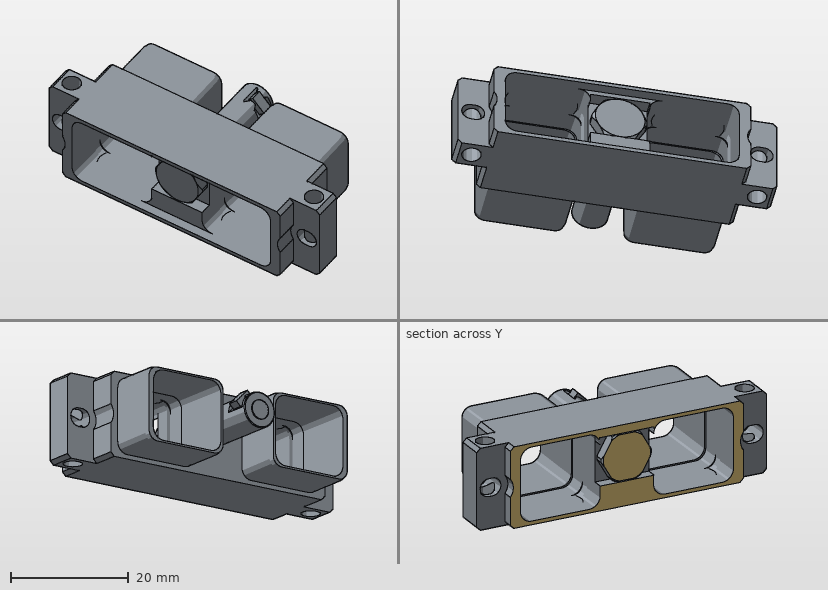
import cadquery as cq
import math

total_length = 55.38
height = 15.14
total_depth = 26.67

body_length = 44.6
body_depth = 14.2
edge_chamfer = 0.7

ear_front = 4.0
ear_back = 9.1
ear_hole_diameter = 3.3
ear_hole_x = 24.8
ear_slot_x = 25.05
ear_slot_length = 3.95
screw_relief_radius = 2.75
screw_relief_depth = 0.55

socket_x = 12.95
socket_width = 15.85
socket_height = 13.55
socket_back = 23.07
socket_radius = 2.0
socket_overlap = 1.0
socket_rim_length = 0.85
socket_rim_inset = 0.2

cavity_length = 40.6
cavity_height = 13.6
cavity_radius = 2.1
cavity_depth = 1.7
pocket_width = 15.15
pocket_taper_start = 6.7
pocket_taper_end = 8.0
throat_inset = 0.3
throat_end = 11.6
window_inset = 0.55

ramp_start = 4.5
ramp_land_start = 6.05
ramp_land_end = 6.65
ramp_end = 7.9
ramp_land_rise = 0.15

bolt_z = 1.52
seat_height = 8.85
seat_depth = 3.9
head_front = 1.8
head_sides = 6
head_across_flats = 8.6
head_corner_diameter = 9.6
head_chamfer = 0.5
barrel_diameter = 6.3
barrel_shoulder = 26.45
barrel_chamfer = 0.15
tip_diameter = 3.4

tab_angle = 45.0
tab_y = 23.72
tab_width = 3.25
tab_length = 2.05
tab_reach = 3.54
notch_floor = 2.3
notch_length = 3.95
notch_waist_length = 2.0
left_notch_waist = -1.41
left_notch_shoulder = -1.95
right_notch_waist = -0.4
right_notch_shoulder = 0.15


def bar(width, bar_height, y_start, y_end, x=0.0, z=0.0):
    """Rectangular bar along Y, centred on (x, z)."""
    length = y_end - y_start
    return cq.Workplane("XY").box(width, length, bar_height).translate((x, (y_start + y_end) / 2, z))


def cylinder(diameter, y_start, y_end, x=0.0, z=0.0):
    """Round bar along Y, centred on (x, z)."""
    base = cq.Workplane("XZ", origin=(x, y_start, z))
    return base.circle(diameter / 2).extrude(y_start - y_end)


def make_shell():
    """Body and ears with chamfered long edges."""
    body = bar(body_length, height, 0, body_depth).edges("|Y").chamfer(edge_chamfer)
    ears = bar(total_length, height, ear_front, ear_back).edges("|Y").chamfer(edge_chamfer)
    return body.union(ears)


def make_socket(x):
    """Rounded box behind the body, drawn in slightly at its back rim."""
    socket = bar(socket_width, socket_height, body_depth - socket_overlap, socket_back, x)
    socket = socket.edges("|Y").fillet(socket_radius)
    return socket.faces(">Y").chamfer(socket_rim_inset, socket_rim_length)


def pocket_section(y_start, y_end, inset):
    """Straight stretch of a pocket, inset evenly from its mouth."""
    stretch = bar(pocket_width - 2 * inset, cavity_height - 2 * inset, y_start, y_end)
    return stretch.edges("|Y").fillet(cavity_radius)


def make_ramps():
    """Side outline of the pocket floor and ceiling, extruded across X."""
    half_mouth = cavity_height / 2
    half_land = half_mouth - ramp_land_rise
    half_throat = half_mouth - throat_inset
    ceiling = [
        (0, half_mouth),
        (ramp_start, half_mouth),
        (ramp_land_start, half_land),
        (ramp_land_end, half_land),
        (ramp_end, half_throat),
        (total_depth, half_throat),
    ]
    floor = [(y, -z) for y, z in reversed(ceiling)]
    return cq.Workplane("YZ").polyline(ceiling + floor).close().extrude(pocket_width, both=True)


def make_pocket(x):
    """Through opening that narrows from its mouth to a throat, then to a window."""
    taper_length = pocket_taper_end - pocket_taper_start
    mouth = pocket_section(0, pocket_taper_end, 0)
    mouth = mouth.faces(">Y").chamfer(throat_inset, taper_length)
    throat = pocket_section(0, throat_end, throat_inset)
    window = pocket_section(0, total_depth, window_inset)
    pocket = mouth.union(throat).union(window).intersect(make_ramps())
    return pocket.translate((x, 0, 0))


def cut_ear(part, side):
    """Mounting holes through one ear and screw reliefs in the body beside it."""
    slot = cq.Workplane("XZ").center(side * ear_slot_x, 0).slot2D(ear_slot_length, ear_hole_diameter)
    part = part.cut(slot.extrude(total_depth, both=True))
    hole = cq.Workplane("XY").center(side * ear_hole_x, (ear_front + ear_back) / 2)
    part = part.cut(hole.circle(ear_hole_diameter / 2).extrude(height, both=True))
    relief_x = side * (body_length / 2 - screw_relief_depth + screw_relief_radius)
    for y_start, y_end in ((0, ear_front), (ear_back, body_depth)):
        part = part.cut(cylinder(2 * screw_relief_radius, y_start, y_end, relief_x))
    return part


def make_bolt():
    """Hexagon head with a long barrel that ends in a small raised tip."""
    point_diameter = head_across_flats / math.cos(math.pi / head_sides)
    base = cq.Workplane("XZ", origin=(0, head_front, bolt_z))
    head = base.polygon(head_sides, point_diameter).extrude(head_front - seat_depth)
    blank = cylinder(head_corner_diameter, head_front, seat_depth, 0, bolt_z)
    head = head.intersect(blank.faces("<Y").chamfer(head_chamfer))
    barrel = cylinder(barrel_diameter, seat_depth, barrel_shoulder, 0, bolt_z)
    barrel = barrel.faces(">Y").chamfer(barrel_chamfer)
    tip = cylinder(tip_diameter, seat_depth, total_depth, 0, bolt_z)
    return head.union(barrel).union(tip)


def place_on_barrel(shape):
    """Lean a shape built above the Y axis onto the barrel."""
    leaned = shape.rotate((0, 0, 0), (0, 1, 0), tab_angle)
    return leaned.translate((0, tab_y, bolt_z))


def make_notch(waist, shoulder):
    """Flat-bottomed relief that widens from its waist to the outside of the barrel."""
    outer_end = math.copysign(barrel_diameter, shoulder)
    outline = [
        (waist, notch_waist_length / 2),
        (shoulder, notch_length / 2),
        (outer_end, notch_length / 2),
    ]
    mirrored = [(x, -y) for x, y in reversed(outline)]
    base = cq.Workplane("XY").workplane(offset=notch_floor)
    return place_on_barrel(base.polyline(outline + mirrored).close().extrude(barrel_diameter))


def make_tab():
    """Rectangular tab standing out of the barrel between the two notches."""
    return place_on_barrel(cq.Workplane("XY").rect(tab_width, tab_length).extrude(tab_reach))


part = make_shell()
for side in (-1, 1):
    part = part.union(make_socket(side * socket_x))
part = part.cut(bar(cavity_length, cavity_height, 0, cavity_depth).edges("|Y").fillet(cavity_radius))
pocket_x = (cavity_length - pocket_width) / 2
for side in (-1, 1):
    part = part.cut(make_pocket(side * pocket_x))
    part = cut_ear(part, side)
part = part.cut(bar(cavity_length - 2 * pocket_width, seat_height, 0, seat_depth, 0, bolt_z))

bolt = make_bolt()
bolt = bolt.cut(make_notch(left_notch_waist, left_notch_shoulder))
bolt = bolt.cut(make_notch(right_notch_waist, right_notch_shoulder))
result = part.union(bolt).union(make_tab())